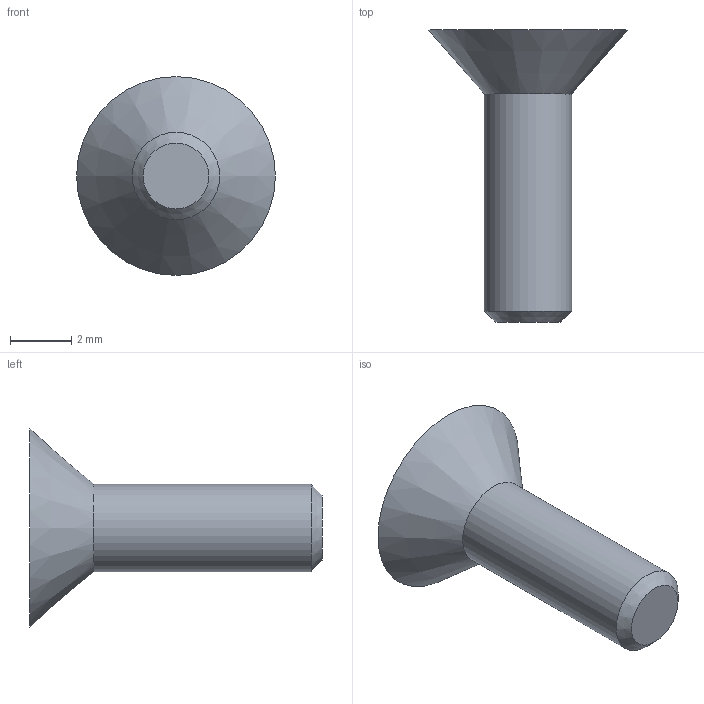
import cadquery as cq
import math

overall_length = 9.525
head_diameter = 6.48
head_cone_angle = 82.0
shank_diameter = 2.85
tip_chamfer = 0.355

head_radius = head_diameter / 2
shank_radius = shank_diameter / 2
head_height = (head_radius - shank_radius) / math.tan(math.radians(head_cone_angle / 2))


def screw_body():
    """Revolve the half profile (radius along X, length along Y) about the Y axis."""
    half_profile = (
        cq.Workplane("XY")
        .moveTo(0, 0)
        .lineTo(head_radius, 0)
        .lineTo(shank_radius, -head_height)
        .lineTo(shank_radius, -overall_length + tip_chamfer)
        .lineTo(shank_radius - tip_chamfer, -overall_length)
        .lineTo(0, -overall_length)
        .close()
    )
    return half_profile.revolve(360, (0, 0, 0), (0, 1, 0))


result = screw_body()